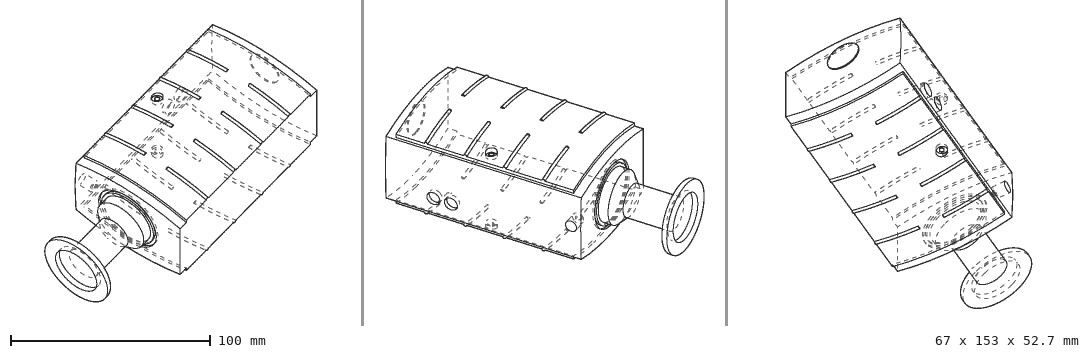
import cadquery as cq
import math


half_width = 33.5
housing_length = 110.8
crown_height = 23.9
crown_edge_height = 19.0
side_ridge = 0.6

pad_thickness = 1.8
pad_end_margin = 5.0
pad_side_margin = 1.8
pad_length = housing_length - 2 * pad_end_margin
pad_left = -half_width + pad_side_margin
pad_center_x = (pad_left + half_width) / 2
pad_center_y = housing_length / 2

rib_rows = 4
rib_pitch = 22.2
rib_base_width = 1.8
rib_height = 0.8
rib_column_gap = 14.1

pad_screw_diameter = 6.0
pad_socket_size = 2.5
pad_screw_x = -24.6
pad_screw_depth = 0.9
button_height = 1.5
pad_socket_depth = 0.8
quarter_turn = 90

side_screw_diameter = 6.3
side_socket_size = 2.8
side_screw_y = 5.5
side_screw_depth = 7.7
side_socket_depth = 1.5

port_diameter = 7.3
port_depth = 2.8
port_z = -10.0
port_ys = (73.8, 83.7)

disc_diameter = 18.0
disc_height = 0.6
disc_z = 9.2

recess_radius = 18.4
recess_depth = 1.2

tube_reach = 41.6
base_radius = 16.5
collar_radius = 14.7
collar_reach = 5.5
taper_reach = 11.0
tube_radius = 9.0
flange_radius = 20.0
flange_rim = 3.0
flange_cone_end = 5.8
rim_fillet = 1.4
bore_radius = 13.2
bore_depth = 3.0

crown_sag = crown_height - crown_edge_height
crown_radius = (half_width**2 + crown_sag**2) / (2 * crown_sag)
crown_center_z = crown_height - crown_radius


def crown_z(x, offset=0.0):
    """Height at x of the arc that lies `offset` above the housing crown."""
    return crown_center_z + math.sqrt((crown_radius + offset) ** 2 - x**2)


def extrude_back(profile, y_start, length):
    """Extrude an XZ profile towards +Y, starting at y_start."""
    return profile.extrude(-length).translate((0, y_start, 0))


def make_core():
    edge_x = -half_width + side_ridge
    profile = (
        cq.Workplane("XZ")
        .moveTo(-half_width, 0)
        .lineTo(edge_x, crown_z(edge_x))
        .threePointArc((0, crown_height), (half_width, crown_edge_height))
        .lineTo(half_width, -crown_edge_height)
        .threePointArc((0, -crown_height), (edge_x, -crown_z(edge_x)))
        .close()
    )
    return extrude_back(profile, 0, housing_length)


def make_rib_ring(y_center):
    """Full ring concentric with the crown; its cross-section has a rounded crest."""
    root_z = crown_center_z + crown_radius
    base_z = root_z + pad_thickness
    crest_z = base_z + rib_height
    half_base = rib_base_width / 2
    section = (
        cq.Workplane("YZ")
        .moveTo(y_center - half_base, root_z)
        .lineTo(y_center - half_base, base_z)
        .threePointArc((y_center, crest_z), (y_center + half_base, base_z))
        .lineTo(y_center + half_base, root_z)
        .close()
    )
    return section.revolve(360, (0, crown_center_z, 0), (1, crown_center_z, 0))


def column_zone(x_start, x_end):
    """Box that bounds one column of ribs above the housing's mid-plane."""
    return (
        cq.Workplane("XY")
        .center((x_start + x_end) / 2, pad_center_y)
        .rect(x_end - x_start, pad_length)
        .extrude(2 * crown_height)
    )


def make_pad_slab():
    """Curved slab concentric with the crown, rooted inside the housing."""
    root = -pad_thickness / 2
    profile = (
        cq.Workplane("XZ")
        .moveTo(pad_left, crown_z(pad_left, root))
        .threePointArc((0, crown_z(0, root)), (half_width, crown_z(half_width, root)))
        .lineTo(half_width, crown_z(half_width, pad_thickness))
        .threePointArc((0, crown_z(0, pad_thickness)), (pad_left, crown_z(pad_left, pad_thickness)))
        .close()
    )
    return extrude_back(profile, pad_end_margin, pad_length)


def make_pad():
    pad = make_pad_slab()
    columns = (
        (pad_left, pad_center_x - rib_column_gap / 2),
        (pad_center_x + rib_column_gap / 2, half_width),
    )
    for row in range(rib_rows):
        y_center = pad_center_y + (row - (rib_rows - 1) / 2) * rib_pitch
        ring = make_rib_ring(y_center)
        for x_start, x_end in columns:
            pad = pad.union(ring.intersect(column_zone(x_start, x_end)))
    return pad


def cut_pad_screw(body):
    """Sink the button-head screw of the upper pad: a round hole around a domed head with a hex socket."""
    head_radius = pad_screw_diameter / 2
    dome_radius = (head_radius**2 + button_height**2) / (2 * button_height)
    surface_z = crown_z(pad_screw_x, pad_thickness)
    head_top_z = surface_z - pad_screw_depth
    floor_z = head_top_z - button_height
    opening_height = surface_z + pad_thickness - floor_z

    hole = (
        cq.Workplane("XY", origin=(pad_screw_x, pad_center_y, floor_z))
        .circle(head_radius)
        .extrude(opening_height)
    )
    dome = (
        cq.Workplane("XY", origin=(pad_screw_x, pad_center_y, head_top_z - dome_radius))
        .sphere(dome_radius)
    )
    socket = (
        cq.Workplane("XY", origin=(pad_screw_x, pad_center_y, head_top_z - pad_socket_depth))
        .transformed(rotate=(0, 0, quarter_turn))
        .polygon(6, pad_socket_size, circumscribed=True)
        .extrude(pad_socket_depth)
    )
    return body.cut(hole.cut(dome)).cut(socket)


def side_hole(y, z, diameter, depth):
    """Cutter for a blind round hole in the -X side, measured from its ridge."""
    return cq.Workplane("YZ", origin=(-half_width, y, z)).circle(diameter / 2).extrude(depth)


def side_screw():
    """Cutter for the side screw: a deep hole with a hex socket in its floor."""
    hole = side_hole(side_screw_y, 0, side_screw_diameter, side_screw_depth)
    socket = (
        cq.Workplane("YZ", origin=(-half_width + side_screw_depth, side_screw_y, 0))
        .polygon(6, side_socket_size, circumscribed=True)
        .extrude(side_socket_depth)
    )
    return hole.union(socket)


def make_housing():
    pad = make_pad()
    body = make_core().union(pad).union(pad.mirror("XY"))
    body = cut_pad_screw(body)
    body = cut_pad_screw(body.mirror("XY")).mirror("XY")
    body = body.cut(side_screw())
    for y in port_ys:
        body = body.cut(side_hole(y, port_z, port_diameter, port_depth))
    disc = cq.Workplane("XZ").center(0, disc_z).circle(disc_diameter / 2)
    body = body.union(extrude_back(disc, housing_length, disc_height))
    recess = cq.Workplane("XZ").circle(recess_radius)
    return body.cut(extrude_back(recess, 0, recess_depth))


def make_tube():
    profile = (
        cq.Workplane("XY")
        .moveTo(0, recess_depth)
        .lineTo(-base_radius, recess_depth)
        .lineTo(-base_radius, 0)
        .lineTo(-collar_radius, 0)
        .lineTo(-collar_radius, -collar_reach)
        .lineTo(-tube_radius, -taper_reach)
        .lineTo(-tube_radius, -tube_reach + flange_cone_end)
        .lineTo(-flange_radius, -tube_reach + flange_rim)
        .lineTo(-flange_radius, -tube_reach)
        .lineTo(-bore_radius, -tube_reach)
        .lineTo(-bore_radius, -tube_reach + bore_depth)
        .lineTo(0, -tube_reach + bore_depth)
        .close()
    )
    tube = profile.revolve(360, (0, 0, 0), (0, 1, 0))
    rim_corner = cq.selectors.NearestToPointSelector((0, -tube_reach + flange_rim, flange_radius))
    return tube.edges(rim_corner).fillet(rim_fillet)


housing = make_housing()
flanged_tube = make_tube()
result = cq.Compound.makeCompound([housing.val(), flanged_tube.val()])